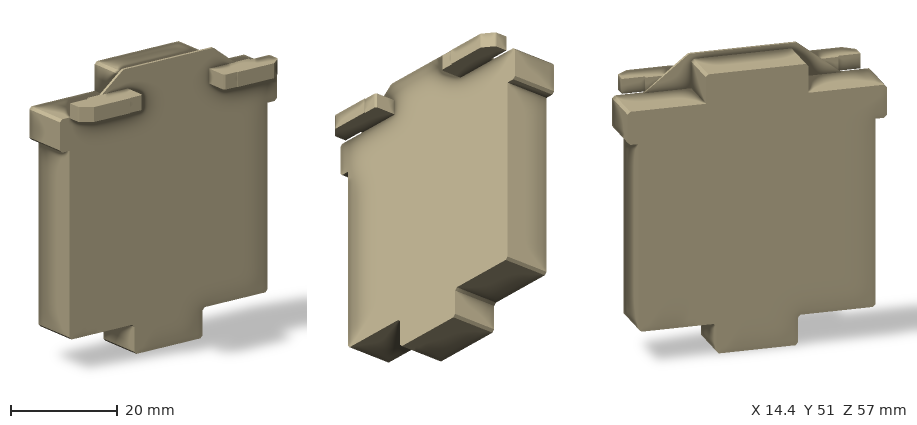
import cadquery as cq

housing_thickness = 9.6
flange_width = 51.0
flange_bottom = 43.5
flange_top = 50.1
body_width = 46.6
body_bottom = 6.0
tongue_width = 16.1
corner_size = 0.5

plate_thickness = 0.55
plate_top = 57.0
plate_base_width = 38.9
plate_top_width = 21.2
plate_corner_radius = 0.85
plate_x = housing_thickness - plate_thickness

cap_width = 20.25
cap_top = 55.9

clip_top = 53.05
clip_outer_x = 14.4
clip_relief_x = 14.25
clip_seat_x = 9.4
clip_gap_x = 10.0
clip_slope_x = 12.6
clip_inner_y = 9.6
clip_relief_y = 12.65
clip_step_y = 19.0
clip_slope_y = 21.2
clip_end_y = 23.5
clip_slope_radius = 0.55
clip_corner_size = 0.35


def block(x_start, x_end, width, bottom, top):
    """Box centred on Y between the given X and Z limits."""
    return cq.Workplane("XY").box(
        x_end - x_start, width, top - bottom, centered=(False, True, False)
    ).translate((x_start, 0, bottom))


def make_housing():
    flange = block(0, housing_thickness, flange_width, flange_bottom, flange_top)
    flange = flange.edges("|X").chamfer(corner_size)
    body = block(0, housing_thickness, body_width, body_bottom, flange_top - corner_size)
    tongue = block(0, housing_thickness, tongue_width, 0, flange_bottom)
    lower = body.union(tongue)
    lower_region = cq.selectors.BoxSelector(
        (0, -flange_width, -corner_size), (housing_thickness, flange_width, body_bottom + corner_size)
    )
    lower = lower.edges("|X").edges(lower_region).chamfer(corner_size)
    return flange.union(lower)


def make_cap():
    cap = block(0, plate_x, cap_width, flange_top, cap_top)
    return cap.edges("|X and >Z").chamfer(corner_size)


def vertical_edge_at(x, y):
    """Selector for the upright clip edge through the given X and Y."""
    return cq.selectors.NearestToPointSelector((x, y, (flange_top + clip_top) / 2))


def make_clip(side):
    """Clip on the +Y side (side = 1) or its mirror image on the -Y side (side = -1)."""
    outline = [
        (clip_seat_x, clip_inner_y),
        (clip_relief_x, clip_inner_y),
        (clip_relief_x, clip_relief_y),
        (clip_outer_x, clip_relief_y),
        (clip_outer_x, clip_slope_y),
        (clip_slope_x, clip_end_y),
        (clip_gap_x, clip_end_y),
        (clip_gap_x, clip_step_y),
        (clip_seat_x, clip_step_y),
    ]
    clip = cq.Workplane("XY", origin=(0, 0, flange_top)).polyline(outline).close()
    clip = clip.extrude(clip_top - flange_top)
    clip = clip.edges(vertical_edge_at(clip_slope_x, clip_end_y)).fillet(clip_slope_radius)
    clip = clip.edges(vertical_edge_at(clip_relief_x, clip_inner_y)).chamfer(clip_corner_size)
    return clip if side > 0 else clip.mirror("XZ")


def make_plate(clips):
    """Trapezoidal plate with a shallow recess where each clip is seated."""
    outline = [
        (-plate_base_width / 2, flange_top),
        (plate_base_width / 2, flange_top),
        (plate_top_width / 2, plate_top),
        (-plate_top_width / 2, plate_top),
    ]
    plate = cq.Workplane("YZ", origin=(plate_x, 0, 0)).polyline(outline).close()
    plate = plate.extrude(plate_thickness).edges("|X and >Z").fillet(plate_corner_radius)
    for clip in clips:
        plate = plate.cut(clip)
    return plate


housing = make_housing()
cap = make_cap()
clips = [make_clip(side) for side in (1, -1)]
plate = make_plate(clips)

result = cq.Compound.makeCompound(
    [housing.val(), cap.val(), plate.val(), *[clip.val() for clip in clips]]
)